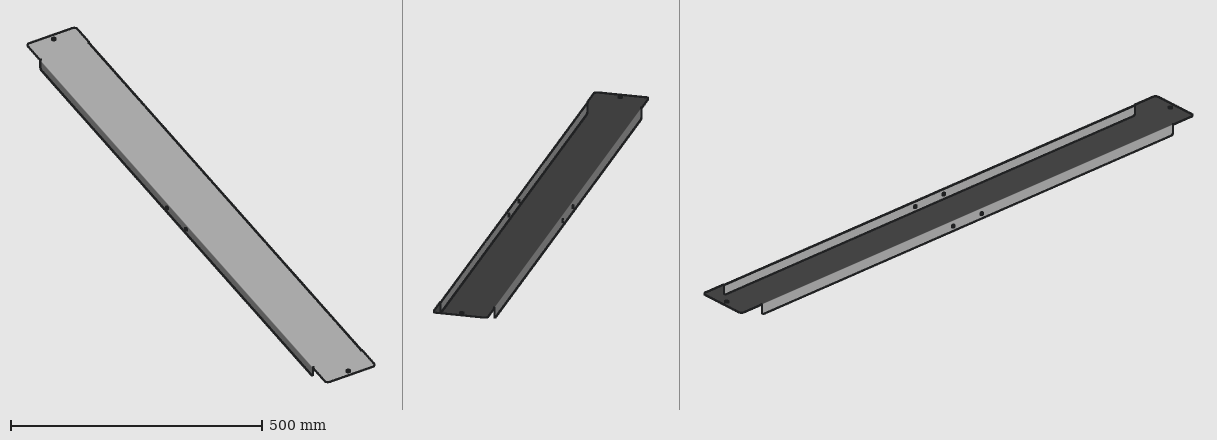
import cadquery as cq

LENGTH = 1225.0
WIDTH = 113.0
HEIGHT = 25.0
SHEET = 1.5

FLANGE_INSET = 56.0
FLANGE_LENGTH = LENGTH - 2 * FLANGE_INSET
FLANGE_CORNER_RADIUS = 6.0
BEND_OUTER_RADIUS = 2.0
BEND_INNER_RADIUS = BEND_OUTER_RADIUS - SHEET

PLATE_CORNER_RADIUS = 7.0

END_HOLE_DIAMETER = 8.0
END_HOLE_INSET = 12.0
END_HOLE_SPACING = LENGTH - 2 * END_HOLE_INSET

FLANGE_HOLE_DIAMETER = 6.7
FLANGE_HOLE_SPACING = 77.0
FLANGE_HOLE_DEPTH = 13.0


def make_channel():
    """Folded middle stretch: plate, two rounded bends and two flanges; the top is at Z = 0."""
    outer = (
        cq.Workplane("XY")
        .box(FLANGE_LENGTH, WIDTH, HEIGHT, centered=(True, True, False))
        .translate((0, 0, -HEIGHT))
        .edges("|X and >Z")
        .fillet(BEND_OUTER_RADIUS)
    )
    inner = (
        cq.Workplane("XY")
        .box(FLANGE_LENGTH, WIDTH - 2 * SHEET, HEIGHT, centered=(True, True, False))
        .translate((0, 0, -HEIGHT - SHEET))
        .edges("|X and >Z")
        .fillet(BEND_INNER_RADIUS)
    )
    return outer.cut(inner).edges("|Y and <Z").fillet(FLANGE_CORNER_RADIUS)


def make_end_tab(side):
    """Flat plate end beyond the flanges; side is -1 for the -X end and +1 for the +X end."""
    return (
        cq.Workplane("XY")
        .box(FLANGE_INSET, WIDTH, SHEET, centered=(True, True, False))
        .translate((side * (LENGTH - FLANGE_INSET) / 2, 0, -SHEET))
        .edges("|Z and >X" if side > 0 else "|Z and <X")
        .fillet(PLATE_CORNER_RADIUS)
    )


def make_end_holes():
    return (
        cq.Workplane("XY")
        .rarray(END_HOLE_SPACING, 12, 2, 1)
        .circle(END_HOLE_DIAMETER / 2)
        .extrude(-HEIGHT)
    )


def make_flange_holes():
    return (
        cq.Workplane("XZ", origin=(0, 0, -FLANGE_HOLE_DEPTH))
        .rarray(FLANGE_HOLE_SPACING, 12, 2, 1)
        .circle(FLANGE_HOLE_DIAMETER / 2)
        .extrude(WIDTH, both=True)
    )


part = make_channel()
for end in (-1, 1):
    part = part.union(make_end_tab(end))

result = part.cut(make_end_holes()).cut(make_flange_holes())